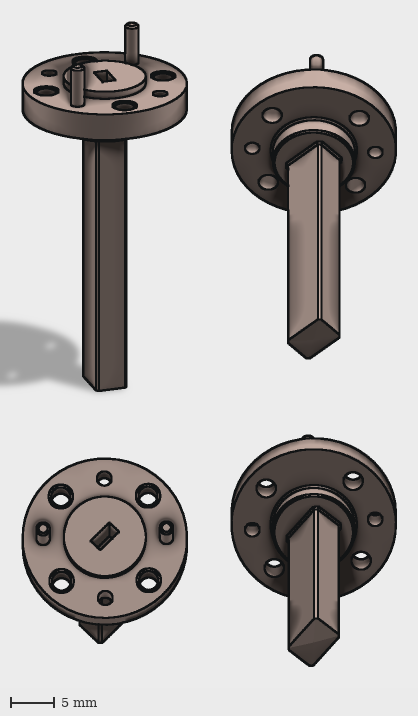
import cadquery as cq
import math

total_height = 42.25
pin_projection = 4.78
flange_thickness = 3.2
face_boss_height = 0.9
collar_height = 2.25
end_point_height = 0.2
end_flat_width = 0.2
flange_top = total_height - pin_projection
flange_bottom = flange_top - flange_thickness
face_boss_top = flange_top + face_boss_height
collar_bottom = flange_bottom - collar_height

flange_diameter = 19.05
boss_diameter = 9.5
collar_chamfer = 0.2
root_flare = 0.25

bar_width = 5.25
bar_depth = 3.7
bar_corner_chamfer = 0.3
guide_width = 3.1
guide_depth = 1.55
guide_floor = collar_bottom

pitch_radius = 7.15
pin_diameter = 1.55
pin_chamfer = 0.25
pin_hole_diameter = 1.7
screw_hole_diameter = 2.25
counterbore_diameter = 2.85
counterbore_depth = 0.15


def pitch_point(angle):
    """Point on the pitch circle, with the angle in degrees from +X."""
    turn = math.radians(angle)
    return (pitch_radius * math.cos(turn), pitch_radius * math.sin(turn))


def cylinder(diameter, bottom, top, center=(0, 0)):
    """Vertical cylinder between two heights."""
    return cq.Workplane("XY", (*center, bottom)).circle(diameter / 2).extrude(top - bottom)


def tapered_bar_section(start, height, taper):
    """Length of the bar's section from a start height, narrowing upward by the taper angle."""
    return (
        cq.Workplane("XY", (0, 0, start))
        .sketch()
        .rect(bar_width, bar_depth)
        .vertices()
        .chamfer(bar_corner_chamfer)
        .finalize()
        .extrude(height, taper=taper)
    )


def make_flange():
    """Flange disc with its raised face, and the collar flared into its underside."""
    flange = cylinder(flange_diameter, flange_bottom, flange_top)
    face_boss = cylinder(boss_diameter, flange_top, face_boss_top)
    collar = cylinder(boss_diameter, collar_bottom, flange_bottom).faces("<Z").chamfer(collar_chamfer)
    flare = cq.Workplane(
        cq.Solid.makeCone(
            boss_diameter / 2,
            boss_diameter / 2 + root_flare,
            root_flare,
            cq.Vector(0, 0, flange_bottom - root_flare),
        )
    )
    return flange.union(face_boss).union(collar).union(flare)


def make_bar():
    """Rectangular bar with broken corners, a flared root and a shallow pointed end."""
    bar = tapered_bar_section(end_point_height, collar_bottom - end_point_height, 0)
    bar_flare = tapered_bar_section(collar_bottom - root_flare, root_flare, -45)
    end_point = (
        cq.Workplane("XY", (0, 0, end_point_height))
        .rect(bar_width, bar_depth)
        .workplane(offset=-end_point_height)
        .rect(end_flat_width, end_flat_width * bar_depth / bar_width)
        .loft(ruled=True)
        .intersect(tapered_bar_section(0, end_point_height, 0))
    )
    return bar.union(bar_flare).union(end_point)


def make_guide():
    """Blind rectangular waveguide opening sunk from the mating face."""
    return (
        cq.Workplane("XY", (0, 0, guide_floor))
        .rect(guide_width, guide_depth)
        .extrude(face_boss_top - guide_floor)
    )


def make_screw_hole(angle):
    """Through hole with a shallow counterbore at the top of the flange."""
    center = pitch_point(angle)
    counterbore = cylinder(counterbore_diameter, flange_top - counterbore_depth, flange_top, center)
    return cylinder(screw_hole_diameter, flange_bottom, flange_top, center).union(counterbore)


def make_pin(angle):
    """Alignment pin rooted in the flange, with a chamfered tip."""
    return (
        cylinder(pin_diameter, flange_bottom, total_height, pitch_point(angle))
        .faces(">Z")
        .chamfer(pin_chamfer)
    )


result = make_flange().union(make_bar()).cut(make_guide())
for screw_angle in (0, 90, 180, 270):
    result = result.cut(make_screw_hole(screw_angle))
for hole_angle in (45, 225):
    result = result.cut(cylinder(pin_hole_diameter, flange_bottom, flange_top, pitch_point(hole_angle)))
for pin_angle in (135, 315):
    result = result.union(make_pin(pin_angle))